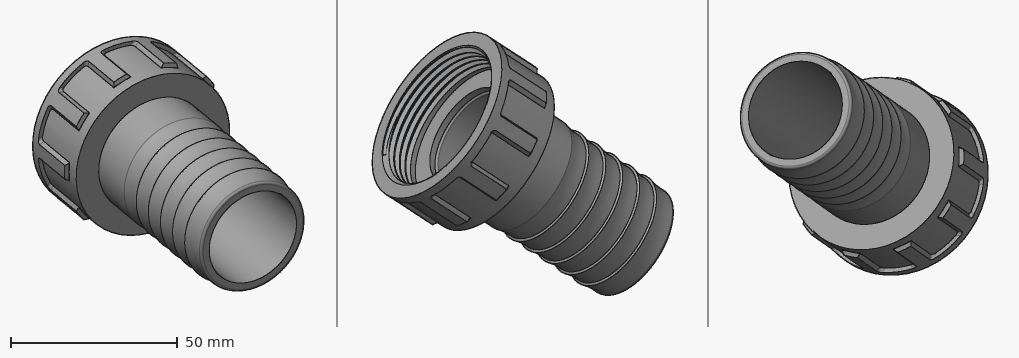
import cadquery as cq
import math


THREAD_PITCH = 2.309
THREAD_MINOR_RADIUS = 22.42
THREAD_MAJOR_RADIUS = 23.9
THREAD_FLANK_ANGLE = 27.5
THREAD_ROOT_FLAT = 0.36
THREAD_START_X = 0.13
CUTTER_OVERRUN = 0.25

NUT_LENGTH = 23.0
NUT_BODY_RADIUS = 26.9
NUT_RIM_RADIUS = 28.25
NUT_RIM_WIDTH = 3.0
NUT_BACK_WALL = 4.0
NUT_ENTRY_RADIUS = 23.8

RIB_COUNT = 10
RIB_BASE_HALF_WIDTH = 3.13
RIB_TIP_HALF_WIDTH = 2.3
RIB_BASE_END_X = 19.0
RIB_TIP_END_X = 18.5
RIB_CORNER_RADIUS = 1.0
RIB_EMBEDDING = 1.5

WASHER_FRONT_X = 12.3
WASHER_THICKNESS = 2.1
WASHER_BORE_RADIUS = 16.1

TAIL_END_X = 80.8
TAIL_RADIUS = 19.0
TAIL_BORE_RADIUS = 15.3
TAIL_INLET_ROUNDING = 0.6
BARB_COUNT = 6
BARB_PITCH = 7.0
FIRST_BARB_X = 37.7
BARB_VALLEY_RADIUS = 18.25
BARB_BACK_RUN = 0.4
BARB_HOLLOW = 0.3
TAIL_END_ROUNDING = 0.8

RIB_ROOT_Z = NUT_BODY_RADIUS - RIB_EMBEDDING
NUT_BACK_WALL_X = NUT_LENGTH - NUT_BACK_WALL
TAIL_FRONT_X = WASHER_FRONT_X + WASHER_THICKNESS

TOLERANCE = 0.01
AXIS_START = (0, 0, 0)
AXIS_END = (1, 0, 0)


def turned(profile):
    """Revolve a closed (x, radius) profile about the X axis."""
    return profile.close().revolve(360, AXIS_START, AXIS_END)


def make_nut_blank():
    """Nut with its rim, chamfered bore and back wall."""
    entry_chamfer = NUT_ENTRY_RADIUS - THREAD_MINOR_RADIUS
    return turned(
        cq.Workplane("XZ")
        .moveTo(0, NUT_ENTRY_RADIUS)
        .lineTo(0, NUT_RIM_RADIUS)
        .lineTo(NUT_RIM_WIDTH, NUT_RIM_RADIUS)
        .lineTo(NUT_RIM_WIDTH, NUT_BODY_RADIUS)
        .lineTo(NUT_LENGTH, NUT_BODY_RADIUS)
        .lineTo(NUT_LENGTH, TAIL_RADIUS)
        .lineTo(NUT_BACK_WALL_X, TAIL_RADIUS)
        .lineTo(NUT_BACK_WALL_X, THREAD_MINOR_RADIUS)
        .lineTo(entry_chamfer, THREAD_MINOR_RADIUS)
    )


def make_rib():
    """One grip rib on the +Z side, with sloping flanks, a sloping end and a round top."""
    base_z = math.sqrt(NUT_BODY_RADIUS**2 - RIB_BASE_HALF_WIDTH**2)
    tip_z = NUT_RIM_RADIUS
    section = (
        cq.Workplane("YZ")
        .polyline([
            (-RIB_BASE_HALF_WIDTH, RIB_ROOT_Z),
            (-RIB_BASE_HALF_WIDTH, base_z),
            (-RIB_TIP_HALF_WIDTH, tip_z),
            (RIB_TIP_HALF_WIDTH, tip_z),
            (RIB_BASE_HALF_WIDTH, base_z),
            (RIB_BASE_HALF_WIDTH, RIB_ROOT_Z),
        ])
        .close()
        .extrude(RIB_BASE_END_X)
    )
    side = (
        cq.Workplane("XZ")
        .polyline([
            (NUT_RIM_WIDTH, RIB_ROOT_Z),
            (NUT_RIM_WIDTH, tip_z),
            (RIB_TIP_END_X, tip_z),
            (RIB_BASE_END_X, NUT_BODY_RADIUS),
            (RIB_BASE_END_X, RIB_ROOT_Z),
        ])
        .close()
        .extrude(RIB_BASE_HALF_WIDTH, both=True)
    )
    envelope = cq.Workplane("YZ").circle(NUT_RIM_RADIUS).extrude(NUT_LENGTH)
    return section.intersect(side).intersect(envelope)


def make_rounded_rib(nut_blank):
    """One grip rib on the -Z side together with its rounded corners against the rim."""
    ribbed = nut_blank.union(make_rib().rotate(AXIS_START, AXIS_END, 180)).clean()
    corners = [
        edge for edge in ribbed.edges("#X").vals()
        if edge.geomType() == "LINE" and abs(edge.Center().x - NUT_RIM_WIDTH) < TOLERANCE
    ]
    rounded = ribbed.newObject(corners).fillet(RIB_CORNER_RADIUS)
    block_width = 2 * (RIB_BASE_HALF_WIDTH + 2 * RIB_CORNER_RADIUS)
    block = (
        cq.Workplane("YZ", origin=(NUT_RIM_WIDTH, 0, 0))
        .rect(block_width, NUT_RIM_RADIUS)
        .extrude(RIB_BASE_END_X - NUT_RIM_WIDTH)
        .translate((0, 0, -RIB_ROOT_Z - NUT_RIM_RADIUS / 2))
    )
    core = cq.Workplane("YZ").circle(NUT_BODY_RADIUS).extrude(NUT_LENGTH)
    return rounded.intersect(block).cut(core)


def add_ribs(nut):
    """Set the ribs evenly around the nut."""
    rib = make_rounded_rib(nut)
    for index in range(RIB_COUNT):
        angle = (index + 0.5) * 360 / RIB_COUNT
        nut = nut.union(rib.rotate(AXIS_START, AXIS_END, angle))
    return nut.clean()


def make_thread_cutter():
    """Helical groove that starts on the +Y side and ends just before the washer."""
    flank_slope = math.tan(math.radians(THREAD_FLANK_ANGLE))
    inner_radius = THREAD_MINOR_RADIUS - CUTTER_OVERRUN
    root_half = THREAD_ROOT_FLAT / 2
    mouth_half = root_half + (THREAD_MAJOR_RADIUS - inner_radius) * flank_slope
    run = WASHER_FRONT_X - mouth_half - THREAD_START_X
    helix = cq.Wire.makeHelix(THREAD_PITCH, run, inner_radius)
    groove = (
        cq.Workplane("XZ")
        .polyline([
            (inner_radius, -mouth_half),
            (THREAD_MAJOR_RADIUS, -root_half),
            (THREAD_MAJOR_RADIUS, root_half),
            (inner_radius, mouth_half),
        ])
        .close()
        .sweep(cq.Workplane(obj=helix), isFrenet=True)
    )
    return (
        groove
        .rotate((0, 0, 0), (0, 0, 1), 90)
        .rotate((0, 0, 0), (0, 1, 0), 90)
        .translate((THREAD_START_X, 0, 0))
    )


def make_nut():
    """Ribbed nut with its internal thread."""
    return add_ribs(make_nut_blank()).cut(make_thread_cutter())


def make_washer():
    """Flat washer between the thread and the flange of the hose tail."""
    return (
        cq.Workplane("YZ", origin=(WASHER_FRONT_X, 0, 0))
        .circle(THREAD_MINOR_RADIUS)
        .circle(WASHER_BORE_RADIUS)
        .extrude(WASHER_THICKNESS)
    )


def make_hose_tail():
    """Hose tail with a flange held in the nut and hollow-flanked barbs."""
    profile = (
        cq.Workplane("XZ")
        .moveTo(TAIL_FRONT_X, TAIL_BORE_RADIUS + TAIL_INLET_ROUNDING)
        .lineTo(TAIL_FRONT_X, THREAD_MINOR_RADIUS)
        .lineTo(NUT_BACK_WALL_X, THREAD_MINOR_RADIUS)
        .lineTo(NUT_BACK_WALL_X, TAIL_RADIUS)
        .lineTo(FIRST_BARB_X, TAIL_RADIUS)
    )
    middle_radius = (TAIL_RADIUS + BARB_VALLEY_RADIUS) / 2 - BARB_HOLLOW
    for index in range(BARB_COUNT):
        barb_x = FIRST_BARB_X + index * BARB_PITCH
        is_last = index == BARB_COUNT - 1
        next_x = barb_x + BARB_PITCH
        valley_x = TAIL_END_X - TAIL_END_ROUNDING if is_last else next_x - BARB_BACK_RUN
        profile = profile.threePointArc(
            ((barb_x + valley_x) / 2, middle_radius), (valley_x, BARB_VALLEY_RADIUS)
        )
        if not is_last:
            profile = profile.lineTo(next_x, TAIL_RADIUS)
    end_bend = TAIL_END_ROUNDING * math.sqrt(0.5)
    inlet_bend = TAIL_INLET_ROUNDING * (1 - math.sqrt(0.5))
    profile = (
        profile
        .threePointArc(
            (
                TAIL_END_X - TAIL_END_ROUNDING + end_bend,
                BARB_VALLEY_RADIUS - TAIL_END_ROUNDING + end_bend,
            ),
            (TAIL_END_X, BARB_VALLEY_RADIUS - TAIL_END_ROUNDING),
        )
        .lineTo(TAIL_END_X, TAIL_BORE_RADIUS)
        .lineTo(TAIL_FRONT_X + TAIL_INLET_ROUNDING, TAIL_BORE_RADIUS)
        .threePointArc(
            (TAIL_FRONT_X + inlet_bend, TAIL_BORE_RADIUS + inlet_bend),
            (TAIL_FRONT_X, TAIL_BORE_RADIUS + TAIL_INLET_ROUNDING),
        )
    )
    return turned(profile)


nut = make_nut()
washer = make_washer()
hose_tail = make_hose_tail()

result = cq.Compound.makeCompound([nut.val(), washer.val(), hose_tail.val()])